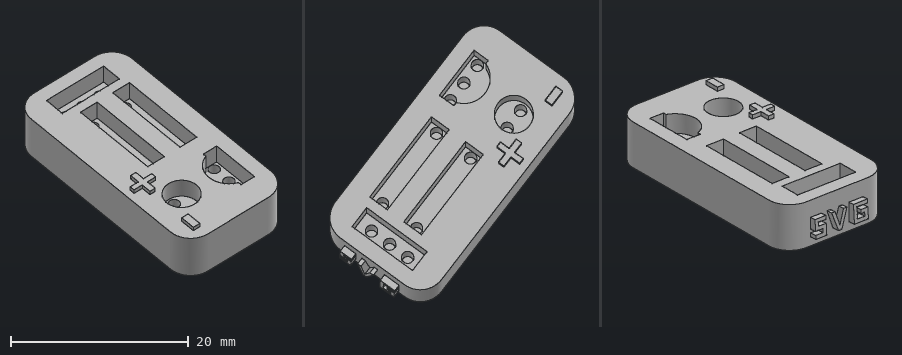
import cadquery as cq
import math

overall_length = 31.0
letter_projection = 1.0
body_length = overall_length - letter_projection
body_width = 15.0
overall_height = 6.4
mark_height = 0.53
body_height = overall_height - mark_height
corner_radius = 3.0

end_x = -body_length / 2

pocket_depth = 2.5
floor_z = body_height - pocket_depth
lead_hole_depth = 2.5
lead_diameter = 1.4
lead_pitch = 2.55

header_x = end_x + 3.22
header_length = 2.73
header_width = 8.5

resistor_x = end_x + 11.6
resistor_length = 11.6
resistor_width = 2.48
resistor_lead_span = 4 * lead_pitch
resistor_ys = (3.47, -1.33)

right_column_x = end_x + 23.18
transistor_lead_y = 4.5
transistor_length = 6.5
transistor_width = 1.98
transistor_radius = 2.98

led_y = -2.55
led_diameter = 4.4

mark_y = -4.93
plus_x = end_x + 19.28
plus_length = 3.35
plus_width = 3.22
plus_bar_along_x = 0.77
plus_bar_along_y = 0.68
minus_x = end_x + 27.52
minus_length = 2.0
minus_width = 0.95

letter_lean = 4.0
letter_foot_z = 1.27
letter_height = 2.48
letter_stroke = 0.5
letter_root = 0.3
s_center, s_width = -3.13, 1.58
v_center, v_width, v_notch_height = -0.37, 2.23, 0.62
g_center, g_width = 2.73, 2.05


def pocket_plane():
    return cq.Workplane("XY").workplane(offset=floor_z)


def rectangular_pocket(x, y, length, width):
    return pocket_plane().center(x, y).rect(length, width).extrude(pocket_depth)


def transistor_pocket():
    """Flat-backed pocket with a half-round front centred on the lead row."""
    flat = rectangular_pocket(right_column_x, transistor_lead_y, transistor_length, transistor_width)
    front = (
        pocket_plane()
        .center(right_column_x, transistor_lead_y)
        .moveTo(-transistor_radius, 0)
        .threePointArc((0, -transistor_radius), (transistor_radius, 0))
        .close()
        .extrude(pocket_depth)
    )
    return flat.union(front)


def led_pocket():
    return pocket_plane().center(right_column_x, led_y).circle(led_diameter / 2).extrude(pocket_depth)


def lead_holes():
    header = [(header_x, row * lead_pitch) for row in (-1, 0, 1)]
    resistors = [(resistor_x + side * resistor_lead_span / 2, y) for y in resistor_ys for side in (-1, 1)]
    transistor = [(right_column_x + column * lead_pitch, transistor_lead_y) for column in (-1, 0, 1)]
    led = [(right_column_x + side * lead_pitch / 2, led_y) for side in (-1, 1)]
    points = header + resistors + transistor + led
    return pocket_plane().pushPoints(points).circle(lead_diameter / 2).extrude(-lead_hole_depth)


def raised_bar(x, length, width):
    top = cq.Workplane("XY").workplane(offset=body_height)
    return top.center(x, mark_y).rect(length, width).extrude(mark_height)


def end_letter(center, width, outline):
    """Raise one letter on the -X end from an outline whose lower left corner is (0, 0)."""
    lean = math.radians(letter_lean)
    face = cq.Plane(
        origin=(end_x - letter_projection, 0, letter_foot_z),
        xDir=(0, -1, 0),
        normal=(-math.cos(lean), 0, math.sin(lean)),
    )
    return (
        cq.Workplane(face)
        .center(center - width / 2, 0)
        .polyline(outline)
        .close()
        .extrude(-letter_projection - letter_root)
    )


def s_outline():
    w, h, t = s_width, letter_height, letter_stroke
    low, high = (h - t) / 2, (h + t) / 2
    return [
        (w, h), (0, h), (0, low), (w - t, low), (w - t, t), (0, t),
        (0, 0), (w, 0), (w, high), (t, high), (t, h - t), (w, h - t),
    ]


def v_outline():
    w, h, t = v_width, letter_height, letter_stroke
    return [
        (0, h), ((w - t) / 2, 0), ((w + t) / 2, 0), (w, h),
        (w - t, h), (w / 2, v_notch_height), (t, h),
    ]


def g_outline():
    w, h, t = g_width, letter_height, letter_stroke
    low, high = (h - t) / 2, (h + t) / 2
    return [
        (w, h), (0, h), (0, 0), (w, 0), (w, high), (w / 2, high),
        (w / 2, low), (w - t, low), (w - t, t), (t, t), (t, h - t), (w, h - t),
    ]


result = cq.Workplane("XY").rect(body_length, body_width).extrude(body_height)
result = result.edges("|Z").fillet(corner_radius)

result = result.union(raised_bar(plus_x, plus_length, plus_bar_along_x))
result = result.union(raised_bar(plus_x, plus_bar_along_y, plus_width))
result = result.union(raised_bar(minus_x, minus_length, minus_width))
result = result.union(end_letter(s_center, s_width, s_outline()))
result = result.union(end_letter(v_center, v_width, v_outline()))
result = result.union(end_letter(g_center, g_width, g_outline()))

result = result.cut(rectangular_pocket(header_x, 0, header_length, header_width))
for resistor_y in resistor_ys:
    result = result.cut(rectangular_pocket(resistor_x, resistor_y, resistor_length, resistor_width))
result = result.cut(transistor_pocket())
result = result.cut(led_pocket())
result = result.cut(lead_holes())